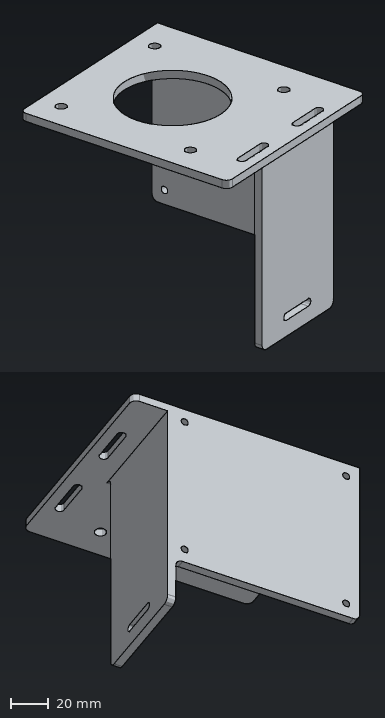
import cadquery as cq

width = 137.0
depth = 125.0
height = 135.0

sheet = 5.0
corner_radius = 4.0
side_inner_x = 111.0
side_outer_x = side_inner_x + sheet
side_depth = 65.0
back_height = 105.0

motor_x = 57.0
motor_y = -65.0
motor_bore = 63.3
motor_hole = 6.5
motor_hole_pitch = 85.0

top_slot_length = 25.0
top_slot_width = 5.0
side_slot_length = 24.5
side_slot_width = 4.5
top_slot_x = 128.0
top_slot_pitch = 50.0
side_slot_y = -33.0
side_slot_z = -123.0

back_hole = 4.2
back_hole_pitch_x = 97.5
back_hole_pitch_z = 87.5
back_hole_mid_x = 57.0
back_hole_mid_z = -52.5


def make_top_plate():
    """Horizontal plate with three rounded corners, a motor bore and two slots."""
    plate = cq.Workplane("XY", origin=(0, -depth, -sheet)).box(width, depth, sheet, centered=False)
    plate = plate.edges("|Z").edges("<Y or >X").fillet(corner_radius)
    bore = cq.Workplane("XY").center(motor_x, motor_y).circle(motor_bore / 2)
    screws = (
        cq.Workplane("XY")
        .center(motor_x, motor_y)
        .rect(motor_hole_pitch, motor_hole_pitch, forConstruction=True)
        .vertices()
        .circle(motor_hole / 2)
    )
    slots = (
        cq.Workplane("XY")
        .center(top_slot_x, motor_y)
        .rarray(1, top_slot_pitch, 1, 2)
        .slot2D(top_slot_length, top_slot_width, 90)
    )
    for opening in (bore, screws, slots):
        plate = plate.cut(opening.extrude(-sheet))
    return plate


def make_back_plate():
    """Vertical plate along the back edge, blended into the side plate at its lower right."""
    plate = (
        cq.Workplane("XZ")
        .moveTo(0, 0)
        .lineTo(side_outer_x, 0)
        .lineTo(side_outer_x, -back_height - corner_radius)
        .lineTo(side_inner_x, -back_height - corner_radius)
        .radiusArc((side_inner_x - corner_radius, -back_height), -corner_radius)
        .lineTo(corner_radius, -back_height)
        .radiusArc((0, -back_height + corner_radius), corner_radius)
        .close()
        .extrude(sheet)
    )
    screws = (
        cq.Workplane("XZ")
        .center(back_hole_mid_x, back_hole_mid_z)
        .rect(back_hole_pitch_x, back_hole_pitch_z, forConstruction=True)
        .vertices()
        .circle(back_hole / 2)
        .extrude(sheet)
    )
    return plate.cut(screws)


def make_side_plate():
    """Vertical plate parallel to YZ, flared into the top plate at its front edge."""
    plate = (
        cq.Workplane("YZ", origin=(side_inner_x, 0, 0))
        .moveTo(0, -sheet)
        .lineTo(-side_depth - corner_radius, -sheet)
        .radiusArc((-side_depth, -sheet - corner_radius), corner_radius)
        .lineTo(-side_depth, -height + corner_radius)
        .radiusArc((-side_depth + corner_radius, -height), -corner_radius)
        .lineTo(-corner_radius, -height)
        .radiusArc((0, -height + corner_radius), -corner_radius)
        .close()
        .extrude(sheet)
    )
    slot = (
        cq.Workplane("YZ", origin=(side_inner_x, 0, 0))
        .center(side_slot_y, side_slot_z)
        .slot2D(side_slot_length, side_slot_width)
        .extrude(sheet)
    )
    return plate.cut(slot)


result = make_top_plate().union(make_back_plate()).union(make_side_plate())